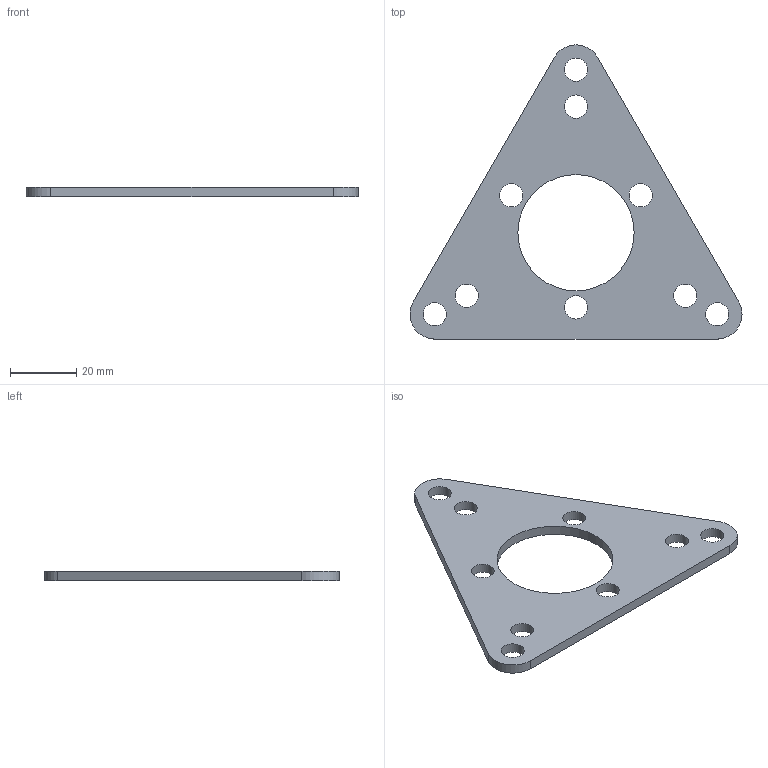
import cadquery as cq
import math

thickness = 3.0
corner_spacing = 85.0
corner_radius = 7.5
center_bore_diameter = 35.0
hole_diameter = 7.0
second_circle_diameter = 76.0
inner_circle_diameter = 45.0

corner_circle_radius = corner_spacing / math.sqrt(3)
second_circle_radius = second_circle_diameter / 2
inner_circle_radius = inner_circle_diameter / 2

TOWARD_CORNERS = 90.0
TOWARD_EDGES = -90.0


def triangle_points(radius, first_angle):
    """Three points equally spaced on a circle about the plate centre."""
    points = []
    for index in range(3):
        angle = math.radians(first_angle + 120.0 * index)
        points.append((radius * math.cos(angle), radius * math.sin(angle)))
    return points


def make_plate():
    """Equilateral plate with corners rounded about the corner holes."""
    corners = triangle_points(corner_circle_radius, TOWARD_CORNERS)
    return cq.Workplane("XY").polyline(corners).close().offset2D(corner_radius, "arc").extrude(thickness)


def cut_through(plate, points, diameter):
    """Cut round holes through the full plate thickness."""
    cutters = cq.Workplane("XY").pushPoints(points).circle(diameter / 2).extrude(thickness)
    return plate.cut(cutters)


hole_points = (
    triangle_points(corner_circle_radius, TOWARD_CORNERS)
    + triangle_points(second_circle_radius, TOWARD_CORNERS)
    + triangle_points(inner_circle_radius, TOWARD_EDGES)
)

result = make_plate()
result = cut_through(result, [(0, 0)], center_bore_diameter)
result = cut_through(result, hole_points, hole_diameter)